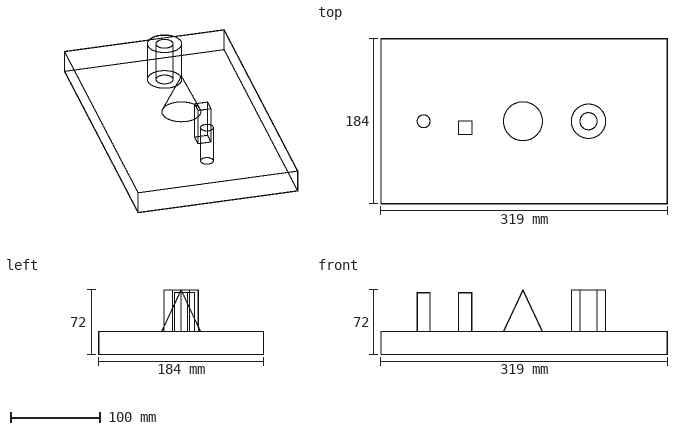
import cadquery as cq

plate_length = 319
plate_width = 184.0
plate_thickness = 25.8
total_height = 72.0

tall_height = total_height - plate_thickness
short_height = 43.0

pin_diameter = 14.5
pin_x = 47.5

post_side = 15.0
post_x = 93.8
post_y = -post_side / 2

cone_diameter = 43.5
cone_x = 158.2

tube_diameter = 38.3
bore_diameter = 19
tube_x = 231.3


def on_plate(x, y=0):
    """Workplane on the plate's top face, with its origin at (x, y)."""
    return cq.Workplane("XY", origin=(x, y, plate_thickness))


plate = cq.Workplane("XY").box(
    plate_length, plate_width, plate_thickness, centered=(False, True, False)
)
pin = on_plate(pin_x).circle(pin_diameter / 2).extrude(short_height)
post = on_plate(post_x, post_y).rect(post_side, post_side).extrude(short_height)
cone = cq.Workplane(cq.Solid.makeCone(
    cone_diameter / 2, 0, tall_height, pnt=cq.Vector(cone_x, 0, plate_thickness)
))
tube = (
    on_plate(tube_x)
    .circle(tube_diameter / 2)
    .circle(bore_diameter / 2)
    .extrude(tall_height)
)

result = plate.union(pin).union(post).union(cone).union(tube)